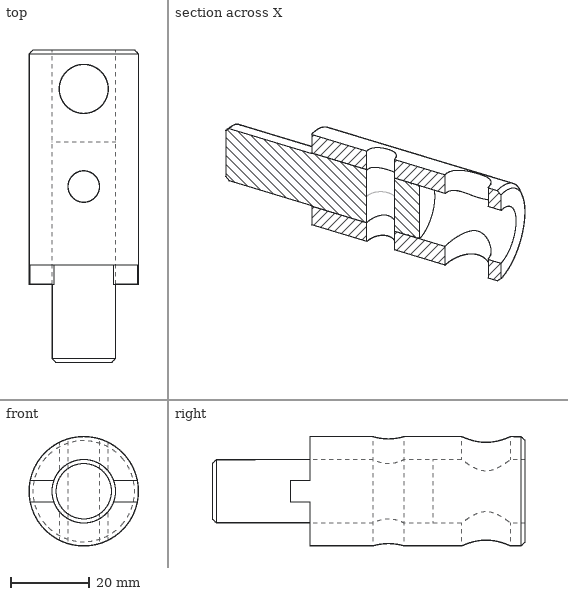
import cadquery as cq

TOTAL_LENGTH = 80.0
BODY_DIAMETER = 28.0
PIN_DIAMETER = 16.2
PIN_PROJECTION = 25.0
BODY_LENGTH = TOTAL_LENGTH - PIN_PROJECTION
END_CHAMFER = 1.0

TAB_LENGTH = 5.0
TAB_HEIGHT = 5.5

LARGE_HOLE_DIAMETER = 12.5
LARGE_HOLE_FROM_REAR = 10.0
SMALL_HOLE_DIAMETER = 8.0
SMALL_HOLE_FROM_REAR = 35.0

LARGE_HOLE_FRONT_EDGE = LARGE_HOLE_FROM_REAR + LARGE_HOLE_DIAMETER / 2
SMALL_HOLE_REAR_EDGE = SMALL_HOLE_FROM_REAR - SMALL_HOLE_DIAMETER / 2
PIN_END_FROM_REAR = (LARGE_HOLE_FRONT_EDGE + SMALL_HOLE_REAR_EDGE) / 2

SHOULDER_Y = 0.0
REAR_Y = SHOULDER_Y + BODY_LENGTH
TIP_Y = SHOULDER_Y - PIN_PROJECTION
PIN_END_Y = REAR_Y - PIN_END_FROM_REAR
TAB_FRONT_Y = SHOULDER_Y - TAB_LENGTH


def y_cylinder(diameter, start_y, end_y):
    """Cylinder on the Y axis between two Y positions."""
    return (
        cq.Workplane("XZ", origin=(0, start_y, 0))
        .circle(diameter / 2)
        .extrude(start_y - end_y)
    )


def cross_hole(diameter, distance_from_rear):
    """Cutter for a hole passing vertically through the assembly."""
    return (
        cq.Workplane("XY", origin=(0, REAR_Y - distance_from_rear, 0))
        .circle(diameter / 2)
        .extrude(BODY_DIAMETER, both=True)
    )


def make_drive_tabs():
    """Bar across the shoulder with round ends; the bore splits it into two tabs."""
    bar = cq.Workplane("XY").box(
        BODY_DIAMETER, TAB_LENGTH, TAB_HEIGHT
    ).translate((0, (TAB_FRONT_Y + SHOULDER_Y) / 2, 0))
    outer_round = y_cylinder(BODY_DIAMETER, TAB_FRONT_Y, SHOULDER_Y)
    return bar.intersect(outer_round)


def make_body():
    """Round body with a chamfered rear end, drive tabs, cross holes and a through bore."""
    body = y_cylinder(BODY_DIAMETER, SHOULDER_Y, REAR_Y)
    body = body.faces(">Y").chamfer(END_CHAMFER)
    body = body.union(make_drive_tabs())
    body = body.cut(cross_hole(LARGE_HOLE_DIAMETER, LARGE_HOLE_FROM_REAR))
    body = body.cut(y_cylinder(PIN_DIAMETER, TAB_FRONT_Y, REAR_Y))
    return body.cut(cross_hole(SMALL_HOLE_DIAMETER, SMALL_HOLE_FROM_REAR))


def make_pin():
    """Pin with a chamfered tip, cross-drilled in line with the small hole."""
    pin = y_cylinder(PIN_DIAMETER, TIP_Y, PIN_END_Y)
    pin = pin.faces("<Y").chamfer(END_CHAMFER)
    return pin.cut(cross_hole(SMALL_HOLE_DIAMETER, SMALL_HOLE_FROM_REAR))


body = make_body()
pin = make_pin()

result = cq.Compound.makeCompound([body.solids().val(), pin.solids().val()])